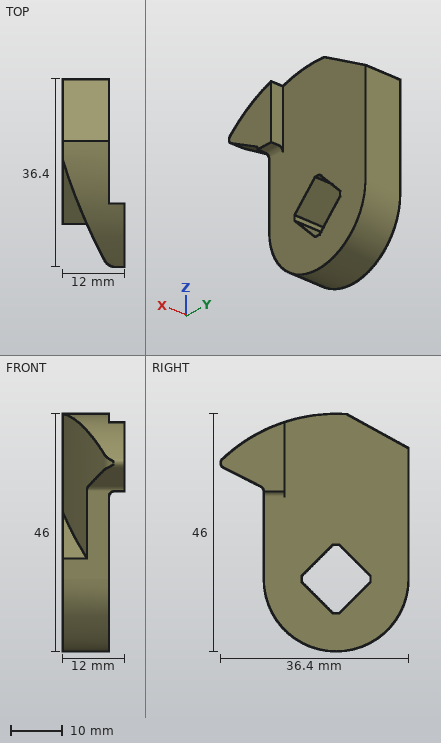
import cadquery as cq
import math

body_radius = 14.0
body_thickness = 9.0
total_thickness = 12.0
top_radius = 31.95
back_bevel_y = 2.0
back_bevel_z = 25.25

hook_tip_y = -22.35
hook_root_z = 17.55
hook_angle = 27.5
hook_round = 1.0
step_y = -10.0

hole_side = 10.2
hole_corner_width = 13.2

cheek_start_y = -1.45
cheek_corner_z = 12.95
cheek_front_z = 4.0
cheek_depth = 4.7
cheek_end = (8.0, -20.8)
cheek_nose_x = 10.8
nose_middle = (9.0, -21.95)
margin = 2.3

front_y = -body_radius
angle = math.radians(hook_angle)
half_angle = (math.pi / 2 - angle) / 2
tangent = hook_round * math.tan(half_angle)
root_z = hook_root_z - tangent


def extrude_profile(profile, start, end):
    """Extrude a (Y, Z) profile along X."""
    return profile.extrude(end - start).translate((start, 0, 0))


def point_on_top(y):
    """(Y, Z) point on the top arc."""
    return y, math.sqrt(top_radius**2 - y**2)


def make_body():
    profile = (
        cq.Workplane("YZ")
        .moveTo(front_y, 0)
        .threePointArc((0, -body_radius), (body_radius, 0))
        .lineTo(body_radius, back_bevel_z)
        .lineTo(*point_on_top(back_bevel_y))
        .threePointArc((0, top_radius), point_on_top(front_y))
        .close()
    )
    return extrude_profile(profile, 0, body_thickness)


def make_hook(start, end):
    """Hook with a rounded tip and a fillet at the root of its underside."""
    tip_center_y = hook_tip_y + hook_round
    tip_center_z = math.sqrt((top_radius - hook_round) ** 2 - tip_center_y**2)
    scale_to_top = top_radius / (top_radius - hook_round)
    tip_top = (tip_center_y * scale_to_top, tip_center_z * scale_to_top)
    tip_bottom = (
        tip_center_y - hook_round * math.sin(angle),
        tip_center_z - hook_round * math.cos(angle),
    )
    root_center = (front_y - hook_round, root_z)
    root_outer = (
        front_y - tangent * math.cos(angle),
        hook_root_z + tangent * math.sin(angle),
    )
    root_middle = (
        root_center[0] + hook_round * math.cos(half_angle),
        root_center[1] + hook_round * math.sin(half_angle),
    )
    profile = (
        cq.Workplane("YZ")
        .moveTo(step_y, root_z)
        .lineTo(front_y, root_z)
        .threePointArc(root_middle, root_outer)
        .lineTo(*tip_bottom)
        .threePointArc((hook_tip_y, tip_center_z), tip_top)
        .threePointArc(point_on_top((tip_top[0] + step_y) / 2), point_on_top(step_y))
        .close()
    )
    return extrude_profile(profile, start, end)


def make_hole():
    square = cq.Workplane("YZ").rect(hole_side, hole_side).extrude(body_thickness)
    square = square.rotate((0, 0, 0), (1, 0, 0), 45)
    corner_limit = cq.Workplane("YZ").rect(hole_corner_width, hole_corner_width)
    return square.intersect(corner_limit.extrude(body_thickness))


def make_cheek_cutter():
    """Curved vertical wall above a sloping floor, with a rounded nose at the tip."""
    wall = (
        cq.Workplane("XY")
        .moveTo(0, cheek_start_y)
        .threePointArc((cheek_depth, front_y), cheek_end)
        .threePointArc(nose_middle, (cheek_nose_x, hook_tip_y))
        .lineTo(cheek_nose_x, hook_tip_y - margin)
        .lineTo(0, hook_tip_y - margin)
        .close()
        .extrude(top_radius + margin)
    )
    floor_slope = (cheek_corner_z - cheek_front_z) / (cheek_start_y - front_y)
    outer_y = hook_tip_y - margin
    outer_z = cheek_front_z + floor_slope * (outer_y - front_y)
    above_floor = (
        cq.Workplane("YZ")
        .moveTo(cheek_start_y, cheek_corner_z)
        .lineTo(outer_y, outer_z)
        .lineTo(outer_y, top_radius + margin)
        .lineTo(cheek_start_y, top_radius + margin)
        .close()
        .extrude(total_thickness)
    )
    return wall.intersect(above_floor)


def make_step_fillet():
    """Concave fillet between the back of the body and the hook's flat underside."""
    offset = hook_round * (1 - math.sqrt(0.5))
    return (
        cq.Workplane("XZ", origin=(body_thickness, step_y, root_z))
        .lineTo(hook_round, 0)
        .threePointArc((offset, -offset), (0, -hook_round))
        .close()
        .extrude(step_y - front_y)
    )


thin_hook = make_hook(0, body_thickness)
thick_hook = make_hook(body_thickness, total_thickness)
result = make_body().union(thin_hook).union(thick_hook)
result = result.union(make_step_fillet())
result = result.cut(make_hole()).cut(make_cheek_cutter())